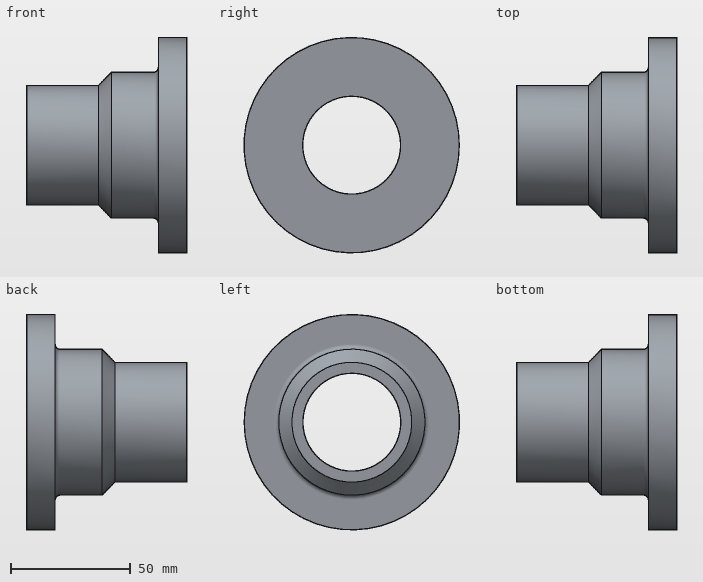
import cadquery as cq

bore_diameter = 40.8
tube_diameter = 50.0
hub_diameter = 61.0
flange_diameter = 90.0

total_length = 67.0
tube_length = 30.1
taper_length = 5.3
flange_thickness = 12.0
root_fillet_radius = 2.0

hub_start = tube_length + taper_length
flange_face = total_length - flange_thickness

bore_radius = bore_diameter / 2
tube_radius = tube_diameter / 2
hub_radius = hub_diameter / 2
flange_radius = flange_diameter / 2

half_section = (
    cq.Workplane("XY")
    .moveTo(0, bore_radius)
    .lineTo(0, tube_radius)
    .lineTo(tube_length, tube_radius)
    .lineTo(hub_start, hub_radius)
    .lineTo(flange_face - root_fillet_radius, hub_radius)
    .radiusArc((flange_face, hub_radius + root_fillet_radius), -root_fillet_radius)
    .lineTo(flange_face, flange_radius)
    .lineTo(total_length, flange_radius)
    .lineTo(total_length, bore_radius)
    .close()
)

result = half_section.revolve(360, (0, 0, 0), (1, 0, 0))